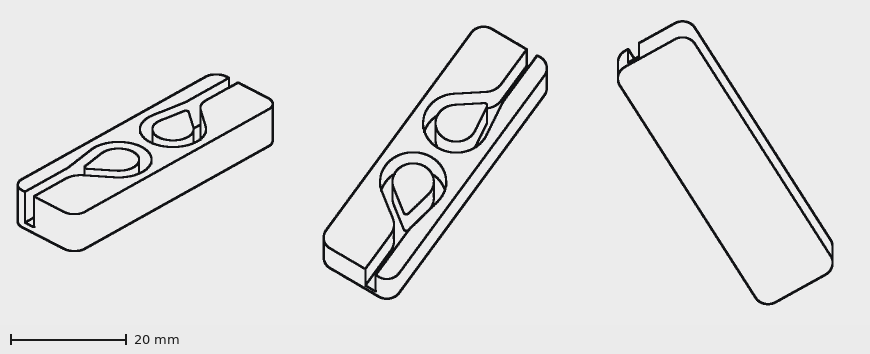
import cadquery as cq
import math

WIDTH = 15.1
LENGTH = 50.8
HEIGHT = 7.57
CORNER_RADIUS = 2.54

CHANNEL_DEPTH = 6.3
CHANNEL_WIDTH = 2.14
ENTRY_CENTER_X = -3.295
ENTRY_LEFT = ENTRY_CENTER_X - CHANNEL_WIDTH / 2
ENTRY_RIGHT = ENTRY_CENTER_X + CHANNEL_WIDTH / 2
BLEND_RADIUS = 3.5

LOOP_CENTER = (0.12, 6.77)
ISLAND_RADIUS = 3.57
RING_RADIUS = ISLAND_RADIUS + CHANNEL_WIDTH
TIP_RADIUS = 0.5

LEFT_FLANK_ANGLE = math.radians(170.6)
RIGHT_FLANK_ANGLE = math.radians(53.1)

FLOOR_Z = HEIGHT - CHANNEL_DEPTH
END_Y = LENGTH / 2


def loop_point(radius, angle):
    """Point on a circle around the loop center."""
    x = LOOP_CENTER[0] + radius * math.cos(angle)
    y = LOOP_CENTER[1] + radius * math.sin(angle)
    return (x, y)


def flank_y(radius, angle, x):
    """Y at a given X on the line that touches the loop circle at the given angle."""
    return LOOP_CENTER[1] + (radius - (x - LOOP_CENTER[0]) * math.cos(angle)) / math.sin(angle)


def make_block():
    block = cq.Workplane("XY").rect(WIDTH, LENGTH).extrude(HEIGHT)
    return block.edges("|Z").fillet(CORNER_RADIUS)


def make_island():
    """Teardrop left standing inside the ring, with a rounded tip."""
    bisector = (LEFT_FLANK_ANGLE + RIGHT_FLANK_ANGLE) / 2
    half_spread = (LEFT_FLANK_ANGLE - RIGHT_FLANK_ANGLE) / 2
    tip = loop_point(ISLAND_RADIUS / math.cos(half_spread), bisector)

    island = (
        cq.Workplane("XY")
        .workplane(offset=FLOOR_Z)
        .moveTo(*tip)
        .lineTo(*loop_point(ISLAND_RADIUS, LEFT_FLANK_ANGLE))
        .threePointArc(
            loop_point(ISLAND_RADIUS, bisector + math.pi),
            loop_point(ISLAND_RADIUS, RIGHT_FLANK_ANGLE),
        )
        .close()
        .extrude(CHANNEL_DEPTH)
    )
    return island.edges("|Z").edges(">Y").fillet(TIP_RADIUS)


def make_channel():
    """Entry slot and ring as one cutter, with the island left out."""
    left_kink_y = flank_y(RING_RADIUS, LEFT_FLANK_ANGLE, ENTRY_LEFT)
    right_corner_y = flank_y(RING_RADIUS, RIGHT_FLANK_ANGLE, ENTRY_RIGHT)
    ring_bottom_angle = (LEFT_FLANK_ANGLE + RIGHT_FLANK_ANGLE) / 2 + math.pi

    blend_reach = BLEND_RADIUS * math.tan(RIGHT_FLANK_ANGLE / 2)
    blend_start = (ENTRY_RIGHT, right_corner_y + blend_reach)
    blend_end = (
        ENTRY_RIGHT + blend_reach * math.sin(RIGHT_FLANK_ANGLE),
        right_corner_y - blend_reach * math.cos(RIGHT_FLANK_ANGLE),
    )
    blend_middle = (
        blend_start[0] + BLEND_RADIUS * (1 - math.cos(RIGHT_FLANK_ANGLE / 2)),
        blend_start[1] - BLEND_RADIUS * math.sin(RIGHT_FLANK_ANGLE / 2),
    )

    channel = (
        cq.Workplane("XY")
        .workplane(offset=FLOOR_Z)
        .moveTo(ENTRY_LEFT, END_Y)
        .lineTo(ENTRY_LEFT, left_kink_y)
        .lineTo(*loop_point(RING_RADIUS, LEFT_FLANK_ANGLE))
        .threePointArc(
            loop_point(RING_RADIUS, ring_bottom_angle),
            loop_point(RING_RADIUS, RIGHT_FLANK_ANGLE),
        )
        .lineTo(*blend_end)
        .threePointArc(blend_middle, blend_start)
        .lineTo(ENTRY_RIGHT, END_Y)
        .close()
        .extrude(CHANNEL_DEPTH)
    )
    return channel.cut(make_island())


channel = make_channel()
result = make_block().cut(channel).cut(channel.mirror("XZ"))